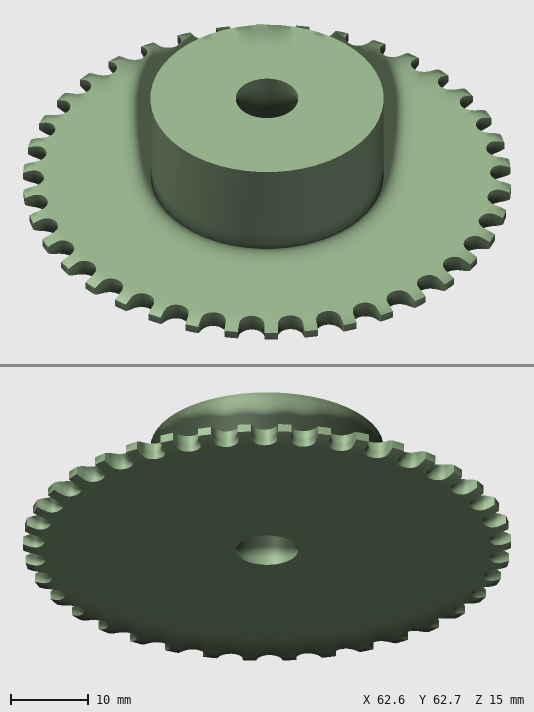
import cadquery as cq
import math

tooth_count = 38
tip_diameter = 62.7
pitch_diameter = 60.55
seat_diameter = 3.25
plate_thickness = 2.25
tooth_face_radius = 5.0
face_diameter = 57.95
hub_diameter = 30.0
bore_diameter = 8.0
total_height = 15.0
cut_clearance = 1.25

half_step = math.pi / tooth_count
tip_radius = tip_diameter / 2
face_radius = face_diameter / 2
pitch_radius = pitch_diameter / 2
seat_radius = seat_diameter / 2
tip_drop = tooth_face_radius - math.sqrt(tooth_face_radius**2 - (tip_radius - face_radius) ** 2)


def face_arc_middle():
    """Radius and drop of a point halfway along the rounded tooth face."""
    half_angle = math.asin((tip_radius - face_radius) / tooth_face_radius) / 2
    radius = face_radius + tooth_face_radius * math.sin(half_angle)
    drop = tooth_face_radius * (1 - math.cos(half_angle))
    return radius, drop


def plate_blank():
    """Revolved disc whose rim thins towards the tooth tips on both faces."""
    mid_radius, mid_drop = face_arc_middle()
    return (
        cq.Workplane("XZ")
        .lineTo(face_radius, 0)
        .threePointArc((mid_radius, mid_drop), (tip_radius, tip_drop))
        .lineTo(tip_radius, plate_thickness - tip_drop)
        .threePointArc((mid_radius, plate_thickness - mid_drop), (face_radius, plate_thickness))
        .lineTo(0, plate_thickness)
        .close()
        .revolve(360, (0, 0, 0), (0, 1, 0))
    )


def tooth_gap():
    """Cutter on the +X axis: a roller seat opening outwards along the tooth flanks."""
    start_x = pitch_radius - seat_radius * math.sin(half_step)
    start_y = seat_radius * math.cos(half_step)
    end_x = tip_radius + cut_clearance
    end_y = start_y + (end_x - start_x) * math.tan(half_step)
    return (
        cq.Workplane("XY")
        .moveTo(end_x, end_y)
        .lineTo(start_x, start_y)
        .threePointArc((pitch_radius - seat_radius, 0), (start_x, -start_y))
        .lineTo(end_x, -end_y)
        .close()
        .extrude(plate_thickness)
    )


def all_gaps():
    """One gap for each tooth, evenly spaced around the Z axis."""
    gaps = cq.Workplane("XY")
    for index in range(tooth_count):
        gaps = gaps.add(tooth_gap().rotate((0, 0, 0), (0, 0, 1), index * 360 / tooth_count))
    return gaps.combine()


hub = cq.Workplane("XY").circle(hub_diameter / 2).extrude(total_height)
bore = cq.Workplane("XY").circle(bore_diameter / 2).extrude(total_height)

result = plate_blank().cut(all_gaps()).union(hub).cut(bore)